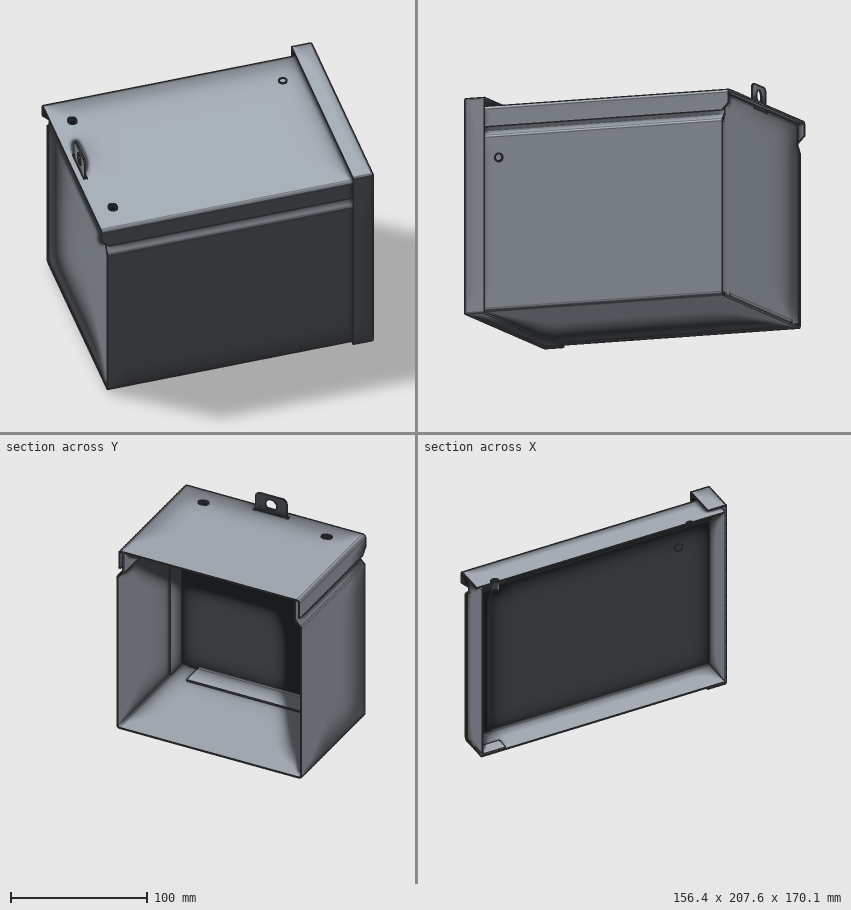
import cadquery as cq
import math


total_width = 156.36
total_depth = 207.63
total_height = 170.12

sheet = 1.35
bend_radius = 2.6
inner_bend_radius = bend_radius - sheet
overlap = 0.5

lid_height = 161.2
lid_depth = 15.6
lid_edge_radius = 1.3

tray_front = 4.2
tray_half = total_width / 2 - sheet
tray_bottom = sheet
floor_top = tray_bottom + sheet
joggle_z = 132.2
joggle_step = 4.9
joggle_half_turn = math.tan(math.radians(45 / 2))
inner_joggle = joggle_z - sheet * joggle_half_turn
shoulder_radius = 0.3
tray_back = total_depth - sheet

cover_top = 155.1
cover_underside = cover_top - sheet
cover_half = 75.2
cover_flange_height = 15.5
cover_chamfer = 5.0

panel_flange_depth = 20.0
panel_side_half = tray_half - sheet
panel_top_half = tray_half - joggle_step - sheet
panel_bottom_half = 60.8
panel_corner_half = 69.0
panel_side_z0 = floor_top + inner_bend_radius
panel_side_z1 = inner_joggle - inner_bend_radius * joggle_half_turn
panel_top_tangent = cover_underside - bend_radius
panel_bottom_tangent = floor_top + bend_radius
panel_side_tangent = panel_side_half - bend_radius

hasp_width = 26.0
hasp_thickness = 1.0
hasp_front = tray_front + sheet
hasp_bottom = 135.0
hasp_corner_radius = 4.0
hasp_hole_diameter = 9.5
hasp_hole_z = 162.2
hasp_slot_length = 29.0
hasp_slot_width = 2.6

fastener_diameter = 6.4
insert_bore = 5.0
insert_length = 8.0
insert_x = 51.1
insert_y = 15.8
cover_slot_length = 8.4
cover_slot_width = 6.6
plug_chamfer = 0.7
top_plug_x = -49.5
top_plug_y = total_depth - 30.9
side_plug_y = total_depth - 26.7
side_plug_z = 115.7


def extrude_back(sketch, y_start, y_end):
    """Extrude an XZ sketch along +Y from y_start to y_end."""
    return sketch.extrude(y_start - y_end).translate((0, y_start, 0))


def drill_down(x, y, z):
    """Cutter for a fastener hole through a horizontal sheet whose top is at z."""
    return (
        cq.Workplane("XY", origin=(x, y, z + overlap))
        .circle(fastener_diameter / 2)
        .extrude(-sheet - 2 * overlap)
    )


def make_lid():
    outer = cq.Workplane("XY").box(
        total_width, lid_depth, lid_height, centered=(True, False, False)
    )
    outer = outer.edges("|Y or >Y").fillet(lid_edge_radius)
    pocket = cq.Workplane("XY").box(
        total_width - 2 * sheet,
        lid_depth - sheet,
        lid_height - 2 * sheet,
        centered=(True, False, False),
    ).translate((0, 0, sheet))
    return outer.cut(pocket).translate((0, total_depth - lid_depth, 0))


def tray_prism(half, bottom, joggle, top, lower_radius, upper_radius):
    """Solid prism of the tray section; the radii round its convex and concave corners."""
    right = [
        (half, bottom),
        (half, joggle),
        (half - joggle_step, joggle + joggle_step),
        (half - joggle_step, top),
    ]
    left = [(-x, z) for x, z in reversed(right)]
    prism = extrude_back(cq.Workplane("XZ").polyline(right + left).close(), tray_front, tray_back)

    def corner_edges(z):
        band = cq.selectors.BoxSelector(
            (-half - overlap, tray_front, z - overlap), (half + overlap, tray_back, z + overlap)
        )
        return prism.edges("|Y").edges(band)

    prism = corner_edges(bottom).fillet(lower_radius)
    prism = corner_edges(joggle).fillet(lower_radius)
    prism = corner_edges(joggle + joggle_step).fillet(upper_radius)
    return prism


def make_tray():
    outer = tray_prism(
        tray_half, tray_bottom, joggle_z, cover_underside, bend_radius, shoulder_radius
    )
    inner = tray_prism(
        tray_half - sheet, floor_top, inner_joggle, cover_underside,
        inner_bend_radius, shoulder_radius + sheet
    )
    side_hole = (
        cq.Workplane("YZ", origin=(-tray_half - overlap, side_plug_y, side_plug_z))
        .circle(fastener_diameter / 2)
        .extrude(sheet + 2 * overlap)
    )
    return outer.cut(inner).cut(side_hole)


def make_cover():
    flange_bottom = cover_top - cover_flange_height

    def block(half, top, radius):
        solid = cq.Workplane("XY").box(
            2 * half, tray_back, top - flange_bottom, centered=(True, False, False)
        )
        return solid.edges("|Y and >Z").fillet(radius).translate((0, 0, flange_bottom))

    cover = block(cover_half, cover_top, bend_radius).cut(
        block(cover_half - sheet, cover_underside, inner_bend_radius)
    )
    corner = (
        cq.Workplane("YZ")
        .polyline([(0, flange_bottom), (cover_chamfer, flange_bottom), (0, flange_bottom + cover_chamfer)])
        .close()
        .extrude(total_width / 2, both=True)
    )
    insert_slots = (
        cq.Workplane("XY", origin=(0, insert_y, cover_top + overlap))
        .pushPoints([(-insert_x, 0), (insert_x, 0)])
        .slot2D(cover_slot_length, cover_slot_width)
        .extrude(-sheet - 2 * overlap)
    )
    hasp_slot = cq.Workplane("XY").box(hasp_slot_length, hasp_slot_width, 3 * sheet).translate(
        (0, hasp_front + hasp_thickness / 2, cover_top)
    )
    plug_hole = drill_down(top_plug_x, top_plug_y, cover_top)
    return cover.cut(corner).cut(insert_slots).cut(hasp_slot).cut(plug_hole)


def bent_flange(length):
    """Flange that leaves the panel upward at Z = 0 and bends back toward +Y."""
    inner_mid = inner_bend_radius * math.sqrt(0.5)
    outer_mid = bend_radius * math.sqrt(0.5)
    return (
        cq.Workplane("YZ")
        .moveTo(0, 0)
        .threePointArc((bend_radius - outer_mid, outer_mid), (bend_radius, bend_radius))
        .lineTo(panel_flange_depth, bend_radius)
        .lineTo(panel_flange_depth, inner_bend_radius)
        .lineTo(bend_radius, inner_bend_radius)
        .threePointArc((bend_radius - inner_mid, inner_mid), (sheet, 0))
        .close()
        .extrude(length / 2, both=True)
    )


def make_panel():
    shoulder_z = inner_joggle + panel_side_half - panel_side_tangent
    right = [
        (panel_bottom_half, panel_bottom_tangent),
        (panel_bottom_half, floor_top),
        (panel_corner_half, floor_top),
        (panel_corner_half, panel_side_z0),
        (panel_side_tangent, panel_side_z0),
        (panel_side_tangent, shoulder_z),
        (panel_top_half, inner_joggle + joggle_step),
        (panel_top_half, panel_top_tangent),
    ]
    left = [(-x, z) for x, z in reversed(right)]
    face = cq.Workplane("XZ").polyline(right + left).close()
    panel = extrude_back(face, 0, sheet)

    side_length = panel_side_z1 - panel_side_z0
    side_middle = (panel_side_z0 + panel_side_z1) / 2
    flanges = [
        (2 * panel_top_half, 0, (0, 0, panel_top_tangent)),
        (side_length, 90, (panel_side_tangent, 0, side_middle)),
        (2 * panel_bottom_half, 180, (0, 0, panel_bottom_tangent)),
        (side_length, 270, (-panel_side_tangent, 0, side_middle)),
    ]
    for length, turn, place in flanges:
        flange = bent_flange(length).rotate((0, 0, 0), (0, 1, 0), turn)
        panel = panel.union(flange.translate(place))
    panel = panel.translate((0, tray_front, 0))

    hasp_notch = cq.Workplane("XY").box(
        hasp_width, sheet + hasp_thickness, 2 * bend_radius, centered=(True, False, False)
    ).translate((0, tray_front, panel_top_tangent))
    panel = panel.cut(hasp_notch)
    for x in (-insert_x, insert_x):
        panel = panel.cut(drill_down(x, insert_y, cover_underside))
    return panel


def make_hasp():
    plate = cq.Workplane("XY").box(
        hasp_width, hasp_thickness, total_height - hasp_bottom, centered=(True, False, False)
    )
    plate = plate.translate((0, hasp_front, hasp_bottom))
    plate = plate.edges("|Y and >Z").fillet(hasp_corner_radius)
    hole = cq.Workplane("XZ").center(0, hasp_hole_z).circle(hasp_hole_diameter / 2)
    return plate.cut(extrude_back(hole, 0, total_depth))


def make_insert():
    return cq.Workplane("XY").circle(fastener_diameter / 2).circle(insert_bore / 2).extrude(-insert_length)


def make_plug():
    """Plug with its chamfered head at Z = 0, as deep as the sheet that holds it."""
    plug = cq.Workplane("XY").circle(fastener_diameter / 2).extrude(-sheet)
    return plug.faces(">Z").chamfer(plug_chamfer)


lid = make_lid()
tray = make_tray()
cover = make_cover()
panel = make_panel()
hasp = make_hasp()
inserts = [make_insert().translate((x, insert_y, cover_underside)) for x in (-insert_x, insert_x)]
top_plug = make_plug().translate((top_plug_x, top_plug_y, cover_top))
side_plug = make_plug().rotate((0, 0, 0), (0, 1, 0), -90).translate((-tray_half, side_plug_y, side_plug_z))

result = cq.Compound.makeCompound(
    [
        lid.val(),
        tray.val(),
        cover.val(),
        panel.val(),
        hasp.val(),
        *[insert.val() for insert in inserts],
        top_plug.val(),
        side_plug.val(),
    ]
)